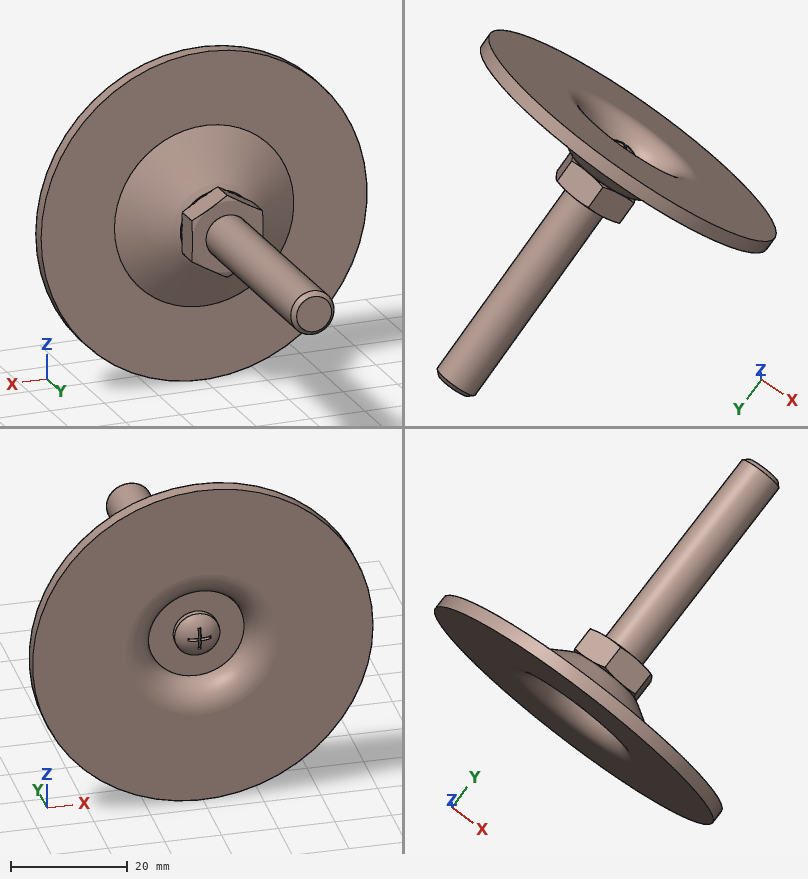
import cadquery as cq
import math

disc_diameter = 60.0
disc_thickness = 2.5
total_length = 53.5

cone_base_diameter = 33.0
cone_top_diameter = 15.6
cone_end = 8.0
seat_diameter = 13.5

nut_across_flats = 13.0
nut_start = 8.5
nut_thickness = 5.0
nut_end = nut_start + nut_thickness
nut_corner_diameter = nut_across_flats / math.cos(math.pi / 6)
nut_chamfer_height = 0.3

stud_diameter = 8.0
stud_chamfer = 0.8

recess_mouth_diameter = 27.0
recess_floor_diameter = 17.0
recess_depth = (recess_mouth_diameter - recess_floor_diameter) / 2

head_rim_height = 1.0
head_dome_height = 2.0
cross_length = 4.0
cross_width = 0.5
cross_depth = 1.0


def turned(profile):
    """Revolve a closed half profile, drawn in XY, about the Y axis."""
    return profile.close().revolve(360, (0, 0, 0), (0, 1, 0))


def make_foot():
    """Disc and conical hub with a rounded recess in the front face."""
    mouth_radius = recess_mouth_diameter / 2
    floor_radius = recess_floor_diameter / 2
    arc_offset = recess_depth * math.sin(math.pi / 4)
    wall_middle = (mouth_radius - arc_offset, recess_depth - arc_offset)
    return turned(
        cq.Workplane("XY")
        .moveTo(0, recess_depth)
        .lineTo(floor_radius, recess_depth)
        .threePointArc(wall_middle, (mouth_radius, 0))
        .lineTo(disc_diameter / 2, 0)
        .lineTo(disc_diameter / 2, disc_thickness)
        .lineTo(cone_base_diameter / 2, disc_thickness)
        .lineTo(cone_top_diameter / 2, cone_end)
        .lineTo(seat_diameter / 2, nut_start)
        .lineTo(0, nut_start)
    )


def make_nut():
    """Hexagon nut, corners along Z, with its corners chamfered at both ends."""
    hexagon = (
        cq.Workplane("XZ", origin=(0, nut_start, 0))
        .transformed(rotate=(0, 0, 90))
        .polygon(6, nut_corner_diameter)
        .extrude(-nut_thickness)
    )
    corner_radius = nut_corner_diameter / 2
    face_radius = nut_across_flats / 2
    envelope = turned(
        cq.Workplane("XY")
        .moveTo(0, nut_start)
        .lineTo(face_radius, nut_start)
        .lineTo(corner_radius, nut_start + nut_chamfer_height)
        .lineTo(corner_radius, nut_end - nut_chamfer_height)
        .lineTo(face_radius, nut_end)
        .lineTo(0, nut_end)
    )
    return hexagon.intersect(envelope)


def make_stud():
    """Plain stud with a chamfered free end, rising from the recess floor."""
    return (
        cq.Workplane("XZ", origin=(0, recess_depth, 0))
        .circle(stud_diameter / 2)
        .extrude(recess_depth - total_length)
        .faces(">Y")
        .chamfer(stud_chamfer)
    )


def make_head():
    """Domed stud head on the recess floor with a cross slot in its crown."""
    head_radius = stud_diameter / 2
    rim = recess_depth - head_rim_height
    crown = rim - head_dome_height
    dome_radius = (head_radius**2 + head_dome_height**2) / (2 * head_dome_height)
    half_angle = math.asin(head_radius / dome_radius) / 2
    dome_middle = (
        dome_radius * math.sin(half_angle),
        crown + dome_radius * (1 - math.cos(half_angle)),
    )
    head = turned(
        cq.Workplane("XY")
        .moveTo(0, recess_depth)
        .lineTo(head_radius, recess_depth)
        .lineTo(head_radius, rim)
        .threePointArc(dome_middle, (0, crown))
    )
    for length, height in ((cross_length, cross_width), (cross_width, cross_length)):
        slot = cq.Workplane("XZ", origin=(0, crown, 0)).rect(length, height).extrude(-cross_depth)
        head = head.cut(slot)
    return head


result = make_foot().union(make_nut()).union(make_stud()).union(make_head())